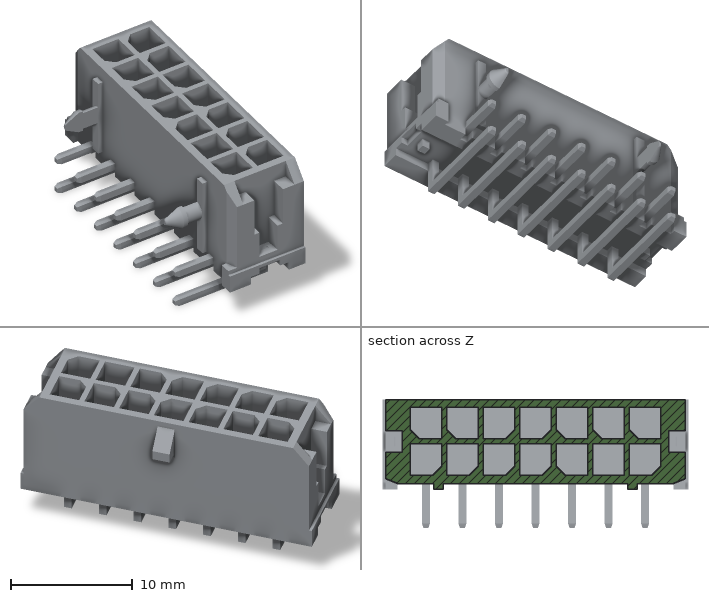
import cadquery as cq


FOOT_WIDTH = 25.15
FOOT_HEIGHT = 1.65
BODY_WIDTH = 24.65
BODY_HEIGHT = 9.93
BODY_FRONT = 0.45
BODY_REAR = 7.37
BODY_DEPTH = BODY_REAR - BODY_FRONT
CORNER_WIDTH = 0.98
CORNER_DEPTH = 0.4
CORNER_BOTTOM = 2.05
CORNER_INNER_X = BODY_WIDTH / 2 - CORNER_WIDTH
SHOULDER_HEIGHT = 8.35
SHOULDER_WIDTH = 1.35
END_WALL_X = BODY_WIDTH / 2 - SHOULDER_WIDTH

COLUMNS = 7
COLUMN_SPAN = 18.0
PITCH = COLUMN_SPAN / (COLUMNS - 1)
FRONT_ROW_Y = 2.45
ROWS_Y = (FRONT_ROW_Y, FRONT_ROW_Y + PITCH)
POCKET_SIZE = 2.55
POCKET_KEY = 0.7
POCKET_FLOOR = 2.3
FRONT_KEYS = "RRRRL-R"
REAR_KEYS = "LLRRLLL"

PIN_SIZE = 0.65
PIN_TIP_Y = -3.2
PIN_TIP_TAPER = 0.38
PIN_TIP_SIZE = 0.4
LOWER_PIN_Z = -1.99
UPPER_PIN_Z = LOWER_PIN_Z + PITCH

CHANNEL_FRONT = 2.05
CHANNEL_REAR = 5.75
CHANNEL_HEIGHT = 0.78
SLOT_DEPTH = 0.7

END_STEPS = ((1.45, 6.46, SHOULDER_HEIGHT), (2.55, 5.33, 4.8), (3.05, 4.8, POCKET_FLOOR))
END_NOTCH_FRONT = 2.9
END_NOTCH_REAR = 4.93
END_NOTCH_TOP = 1.38
END_NOTCH_DEPTH = 0.6

POST_SIZE = 0.7
POST_Y = 3.92
POST_OUTER_X = 11.42

SINK_DEPTH = 0.05
SINK_WIDTH = 0.38
SINK_TAB_LENGTH = 0.3
SINK_TAB_WIDTH = 0.85

RIB_INNER_X = 7.55
RIB_WIDTH = 0.83
RIB_BOTTOM = 1.35
RIB_TOP = 8.58
PEG_Z = 5.35
PEG_RADIUS = 0.8
BARB_RADIUS = 1.0
BARB_BACK_Y = -1.48
BARB_FRONT_Y = -1.89
PEG_TIP_RADIUS = 0.25
PEG_TIP_CHAMFER = 0.08

LATCH_WIDTH = 1.48
LATCH_REAR = 8.75
LATCH_TOP = 9.38
LATCH_RAMP_END = 7.82
LATCH_BOTTOM = 7.0
LATCH_FILLET = 0.58

SIDES = (-1, 1)


def box(x_range, y_range, z_range):
    """Box spanning the given (start, end) ranges; the ends may come in either order."""
    lows = [min(r) for r in (x_range, y_range, z_range)]
    sizes = [abs(r[1] - r[0]) for r in (x_range, y_range, z_range)]
    return cq.Workplane("XY").box(*sizes, centered=False).translate(tuple(lows))


def centred(middle, size):
    return (middle - size / 2, middle + size / 2)


def column_x(column):
    return column * PITCH - COLUMN_SPAN / 2


def body():
    """Housing block with sloped upper ends, bevelled front corners and wider feet."""
    half = BODY_WIDTH / 2
    block = (
        cq.Workplane("XZ", origin=(0, BODY_REAR, 0))
        .moveTo(-half, 0)
        .lineTo(half, 0)
        .lineTo(half, SHOULDER_HEIGHT)
        .lineTo(END_WALL_X, BODY_HEIGHT)
        .lineTo(-END_WALL_X, BODY_HEIGHT)
        .lineTo(-half, SHOULDER_HEIGHT)
        .close()
        .extrude(BODY_DEPTH)
    )
    for side in SIDES:
        corner = (
            cq.Workplane("XY", origin=(0, 0, CORNER_BOTTOM))
            .moveTo(side * half, BODY_FRONT)
            .lineTo(side * CORNER_INNER_X, BODY_FRONT)
            .lineTo(side * half, BODY_FRONT + CORNER_DEPTH)
            .close()
            .extrude(BODY_HEIGHT - CORNER_BOTTOM)
        )
        block = block.cut(corner)
        foot = box((side * CORNER_INNER_X, side * FOOT_WIDTH / 2), (0, BODY_REAR), (0, FOOT_HEIGHT))
        foot_heel = box(
            (side * CORNER_INNER_X, side * half),
            (0, BODY_FRONT + CORNER_DEPTH),
            (0, CORNER_BOTTOM),
        )
        block = block.union(foot).union(foot_heel)
    return block


def pocket(x, y, key_side):
    """Square contact pocket, with at most one keyed corner on its -Y edge."""
    cell = box(centred(x, POCKET_SIZE), centred(y, POCKET_SIZE), (POCKET_FLOOR, BODY_HEIGHT))
    if key_side == "L":
        cell = cell.edges("|Z and <Y and <X").chamfer(POCKET_KEY)
    elif key_side == "R":
        cell = cell.edges("|Z and <Y and >X").chamfer(POCKET_KEY)
    return cell


def end_recess(side):
    """Stepped recess in one end, with the shallow notch above the channel."""
    outer = FOOT_WIDTH / 2
    steps = cq.Workplane("XY")
    for front, rear, floor in END_STEPS:
        step = box((side * END_WALL_X, side * outer), (front, rear), (floor, BODY_HEIGHT))
        steps = steps.union(step)
    notch = box(
        (side * (outer - END_NOTCH_DEPTH), side * outer),
        (END_NOTCH_FRONT, END_NOTCH_REAR),
        (CHANNEL_HEIGHT, END_NOTCH_TOP),
    )
    return steps.union(notch)


def floor_sink(side):
    """Shallow T-shaped sink against the end wall, its tab pointing outward."""
    front, rear, floor = END_STEPS[-1]
    bar_outer_x = END_WALL_X + SINK_WIDTH
    sink_z = (floor - SINK_DEPTH, floor)
    bar = box((side * END_WALL_X, side * bar_outer_x), (front, rear), sink_z)
    tab_x = (side * bar_outer_x, side * (bar_outer_x + SINK_TAB_LENGTH))
    tab = box(tab_x, centred(POST_Y, SINK_TAB_WIDTH), sink_z)
    return bar.union(tab)


def pin(x, row_y, z):
    """Bent square pin: a tapered run toward -Y and a leg up into the housing."""
    taper_y = PIN_TIP_Y + PIN_TIP_TAPER
    leg_rear = row_y + PIN_SIZE / 2
    run = box(centred(x, PIN_SIZE), (taper_y, leg_rear), centred(z, PIN_SIZE))
    leg = box(centred(x, PIN_SIZE), centred(row_y, PIN_SIZE), (z, POCKET_FLOOR))
    tip = (
        cq.Workplane("XZ", origin=(x, taper_y, z))
        .rect(PIN_SIZE, PIN_SIZE)
        .workplane(offset=PIN_TIP_TAPER)
        .rect(PIN_TIP_SIZE, PIN_TIP_SIZE)
        .loft()
    )
    return run.union(leg).union(tip)


def rib_and_peg(side):
    """Front rib with a barbed peg, halved at the inner side of the rib."""
    rib_x = (side * RIB_INNER_X, side * (RIB_INNER_X + RIB_WIDTH))
    rib = box(rib_x, (0, BODY_FRONT), (RIB_BOTTOM, RIB_TOP))
    chamfer_radius = PEG_TIP_RADIUS + PEG_TIP_CHAMFER
    peg = (
        cq.Workplane("XY")
        .moveTo(0, BODY_FRONT)
        .lineTo(side * PEG_RADIUS, BODY_FRONT)
        .lineTo(side * PEG_RADIUS, BARB_BACK_Y)
        .lineTo(side * BARB_RADIUS, BARB_BACK_Y)
        .lineTo(side * BARB_RADIUS, BARB_FRONT_Y)
        .lineTo(side * chamfer_radius, PIN_TIP_Y + PEG_TIP_CHAMFER)
        .lineTo(side * PEG_TIP_RADIUS, PIN_TIP_Y)
        .lineTo(0, PIN_TIP_Y)
        .close()
        .revolve(360, (0, 0, 0), (0, 1, 0))
        .translate((side * RIB_INNER_X, 0, PEG_Z))
    )
    outer_half = box(
        (side * RIB_INNER_X, side * FOOT_WIDTH / 2),
        (PIN_TIP_Y, BODY_FRONT),
        (0, BODY_HEIGHT),
    )
    return rib.union(peg.intersect(outer_half))


def latch():
    """Ramped latch with a fillet where its underside meets the rear face."""
    return (
        cq.Workplane("YZ", origin=(-LATCH_WIDTH / 2, 0, 0))
        .moveTo(BODY_REAR, LATCH_TOP)
        .lineTo(LATCH_REAR, LATCH_RAMP_END)
        .lineTo(LATCH_REAR, LATCH_BOTTOM)
        .lineTo(BODY_REAR + LATCH_FILLET, LATCH_BOTTOM)
        .radiusArc((BODY_REAR, LATCH_BOTTOM - LATCH_FILLET), -LATCH_FILLET)
        .close()
        .extrude(LATCH_WIDTH)
    )


result = body()

result = result.cut(
    box(centred(0, FOOT_WIDTH), (CHANNEL_FRONT, CHANNEL_REAR), (0, CHANNEL_HEIGHT))
)
for column in range(COLUMNS):
    slot_y = (BODY_FRONT, BODY_FRONT + SLOT_DEPTH)
    slot = box(centred(column_x(column), PIN_SIZE), slot_y, (0, UPPER_PIN_Z))
    result = result.cut(slot)

for y, keys in zip(ROWS_Y, (FRONT_KEYS, REAR_KEYS)):
    for column, key_side in enumerate(keys):
        result = result.cut(pocket(column_x(column), y, key_side))

for side in SIDES:
    result = result.cut(end_recess(side))
    result = result.cut(floor_sink(side))
    post_x = (side * POST_OUTER_X, side * (POST_OUTER_X - POST_SIZE))
    result = result.union(box(post_x, centred(POST_Y, POST_SIZE), (0, CHANNEL_HEIGHT)))
    result = result.union(rib_and_peg(side))

result = result.union(latch())

for column in range(COLUMNS):
    for y, z in zip(ROWS_Y, (UPPER_PIN_Z, LOWER_PIN_Z)):
        result = result.union(pin(column_x(column), y, z))